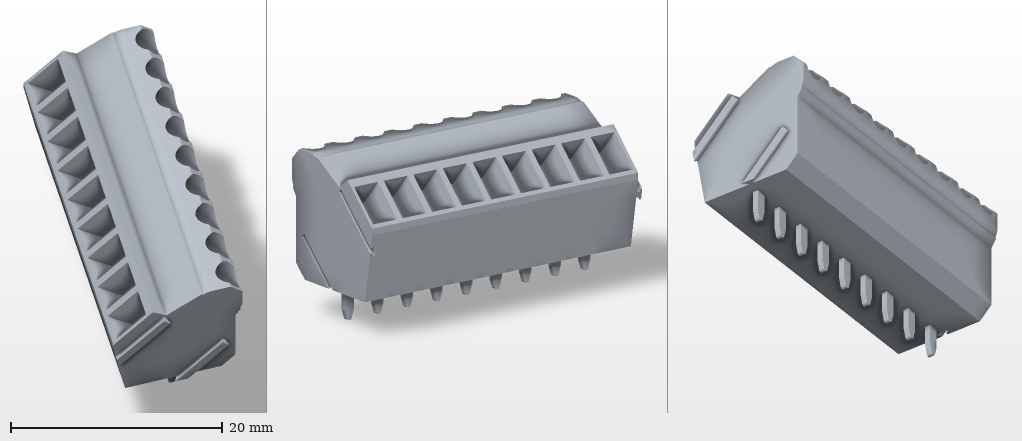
import cadquery as cq
import math


POLES = 9
PITCH = 3.5
HOUSING_LENGTH = POLES * PITCH
POLE_CENTERS = [(i + 0.5) * PITCH for i in range(POLES)]

HOUSING_SIZE = 12.7
FRONT_LEAN = 1.15
LIP_BOTTOM = 6.87
LIP_TOP = 7.55
ENTRY_RISE = 3.9
VALLEY_Y = 5.23
VALLEY_Z = 10.43
BACK_WALL_Y = 12.0
BASE_CHAMFER = 1.35
HEAD_CHAMFER = 1.2
HEAD_FLAT_END = 9.75
STEP_FOOT = (8.9, 12.45)
STEP_CREST = (8.7, 12.55)
HEAD_ROUND_MID = (9.35, 12.65)
BACK_WALL_TOP = 7.85

ENTRY_WIDTH = 2.82
ENTRY_LENGTH = 4.25
ENTRY_FLOOR_WIDTH = 1.45
ENTRY_FLOOR_LENGTH = 2.9
ENTRY_DEPTH = 2.47
ENTRY_CENTER = (1.8, LIP_TOP + 1.8)

SCREW_HOLE_DIAMETER = 3.02
SCREW_HOLE_DEPTH = 2.65

FRONT_RAIL_HEIGHT = 0.6
REAR_RAIL_HEIGHT = 0.55
RAIL_NECK_WIDTH = 0.45
RAIL_NECK_HEIGHT = 0.15
RAIL_FILLET = 0.22
FRONT_RAIL_OFFSET = 5.0
REAR_RAIL_OFFSET = -6.58
RAIL_END_SUM = 15.25
RAIL_LENGTH = 16.05
RAILS = ((FRONT_RAIL_OFFSET, FRONT_RAIL_HEIGHT), (REAR_RAIL_OFFSET, REAR_RAIL_HEIGHT))

PIN_WIDTH = 1.05
PIN_THICKNESS = 0.58
PIN_Y = 6.2
PIN_LENGTH = 3.18
PIN_TAPER_START = 2.1
PIN_ROUND_START = 2.9
PIN_TIP_WIDTH = 0.58


def swapped(point):
    """Mirror a (Y, Z) point about the line Y = Z."""
    return point[1], point[0]


def section_prism():
    """Solid housing shape, without holes or rails."""
    flat_end = (HEAD_FLAT_END, HOUSING_SIZE)
    chamfer_top = (HOUSING_SIZE - HEAD_CHAMFER, HOUSING_SIZE)
    return (
        cq.Workplane("YZ")
        .moveTo(FRONT_LEAN, 0)
        .lineTo(0, LIP_BOTTOM)
        .lineTo(0, LIP_TOP)
        .lineTo(ENTRY_RISE, LIP_TOP + ENTRY_RISE)
        .lineTo(VALLEY_Y, VALLEY_Z)
        .lineTo(*STEP_CREST)
        .lineTo(*STEP_FOOT)
        .threePointArc(HEAD_ROUND_MID, flat_end)
        .lineTo(*chamfer_top)
        .lineTo(*swapped(chamfer_top))
        .lineTo(*swapped(flat_end))
        .threePointArc(swapped(HEAD_ROUND_MID), swapped(STEP_FOOT))
        .lineTo(*swapped(STEP_CREST))
        .lineTo(BACK_WALL_Y, BACK_WALL_TOP)
        .lineTo(BACK_WALL_Y, BASE_CHAMFER)
        .lineTo(BACK_WALL_Y - BASE_CHAMFER, 0)
        .close()
        .extrude(HOUSING_LENGTH)
    )


def wire_entry(x):
    """Funnel to remove for one wire entry."""
    face = cq.Plane(origin=(x, *ENTRY_CENTER), xDir=(1, 0, 0), normal=(0, -1, 1))
    return (
        cq.Workplane(face)
        .rect(ENTRY_WIDTH, ENTRY_LENGTH)
        .workplane(offset=-ENTRY_DEPTH)
        .rect(ENTRY_FLOOR_WIDTH, ENTRY_FLOOR_LENGTH)
        .loft(ruled=True)
    )


def screw_hole(x):
    """Cylinder to remove for one screwdriver hole."""
    middle = HOUSING_SIZE - HEAD_CHAMFER / 2
    face = cq.Plane(origin=(x, middle, middle), xDir=(1, 0, 0), normal=(0, 1, 1))
    return cq.Workplane(face).circle(SCREW_HOLE_DIAMETER / 2).extrude(-SCREW_HOLE_DEPTH)


def rail(x, offset, height):
    """Flared rail standing on the plane at x, running down and forward at 45 degrees."""
    upper_end = (x, (RAIL_END_SUM - offset) / 2, (RAIL_END_SUM + offset) / 2)
    end_plane = cq.Plane(origin=upper_end, xDir=(1, 0, 0), normal=(0, -1, -1))
    neck = RAIL_NECK_WIDTH / 2
    head = neck + RAIL_FILLET
    flare_top = RAIL_NECK_HEIGHT + RAIL_FILLET
    arc_reach = RAIL_FILLET * math.sqrt(0.5)
    arc_mid = (RAIL_NECK_HEIGHT + arc_reach, head - arc_reach)
    return (
        cq.Workplane(end_plane)
        .moveTo(0, -neck)
        .lineTo(RAIL_NECK_HEIGHT, -neck)
        .threePointArc((arc_mid[0], -arc_mid[1]), (flare_top, -head))
        .lineTo(height, -head)
        .lineTo(height, head)
        .lineTo(flare_top, head)
        .threePointArc(arc_mid, (RAIL_NECK_HEIGHT, neck))
        .lineTo(0, neck)
        .close()
        .extrude(RAIL_LENGTH)
    )


def build_housing():
    block = section_prism()
    tongue_limit = block.translate((HOUSING_LENGTH, 0, 0))
    body = block
    for x in POLE_CENTERS:
        body = body.cut(wire_entry(x)).cut(screw_hole(x))
    for offset, height in RAILS:
        body = body.cut(rail(0, offset, height))
        tongue = rail(HOUSING_LENGTH, offset, height)
        body = body.union(tongue.intersect(tongue_limit))
    return body


def build_pin(x):
    """Flat pin under the housing, tapering to a rounded tip."""
    half = PIN_WIDTH / 2
    tip = PIN_TIP_WIDTH / 2
    return (
        cq.Workplane("XZ", origin=(x, PIN_Y + PIN_THICKNESS / 2, 0))
        .moveTo(-half, 0)
        .lineTo(-half, -PIN_TAPER_START)
        .lineTo(-tip, -PIN_ROUND_START)
        .threePointArc((0, -PIN_LENGTH), (tip, -PIN_ROUND_START))
        .lineTo(half, -PIN_TAPER_START)
        .lineTo(half, 0)
        .close()
        .extrude(PIN_THICKNESS)
    )


housing = build_housing()
pins = [build_pin(x) for x in POLE_CENTERS]

result = cq.Compound.makeCompound([housing.val(), *[pin.val() for pin in pins]])